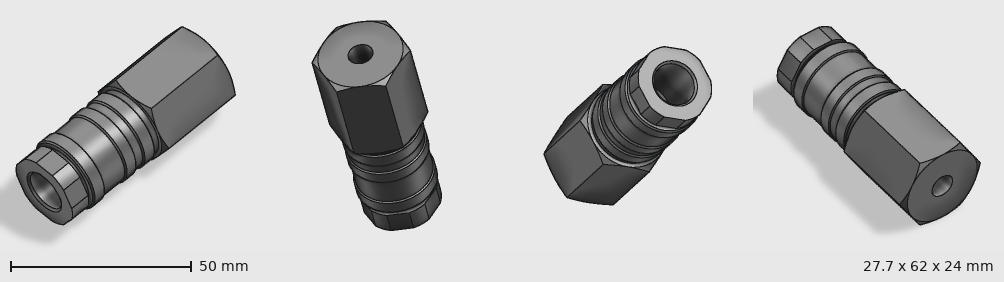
import cadquery as cq
import math

LENGTH = 62.0

BODY_DIAMETER = 22.0
RIB_DIAMETER = 22.95
FRONT_NECK_DIAMETER = 19.05
REAR_NECK_DIAMETER = 21.65

WRENCH_END = 6.4
FRONT_NECK_END = 7.9
BODY_END = 31.9
HEX_START = 33.9

RIBS = [(FRONT_NECK_END, 12.4), (20.45, 24.75), (27.4, BODY_END)]
RIB_FRONT_CHAMFER = 0.5
RIB_REAR_CHAMFER = 0.3

WRENCH_FLATS = 21.1
HEX_FLATS = 24.0
HEX_CHAMFER_ANGLE = 30.0

THROUGH_DIAMETER = 7.0
SOCKET_DIAMETER = 12.15
SOCKET_DEPTH = 18.6
SOCKET_MOUTH_DIAMETER = 13.45

FRONT_Y = -LENGTH / 2


def cylinder(diameter, start, end):
    """Round bar along Y between two stations."""
    plane = cq.Plane((0, FRONT_Y + start, 0), (1, 0, 0), (0, 1, 0))
    return cq.Workplane(plane).circle(diameter / 2).extrude(end - start)


def hexagon(across_flats, start, end):
    """Hexagonal bar along Y with two corners on the X axis."""
    plane = cq.Plane((0, FRONT_Y + start, 0), (1, 0, 0), (0, 1, 0))
    across_corners = across_flats / math.cos(math.radians(30))
    return cq.Workplane(plane).polygon(6, across_corners).extrude(end - start)


def revolved(profile):
    """Solid of revolution about Y from (radius, station) points."""
    points = [(radius, FRONT_Y + station) for radius, station in profile]
    return cq.Workplane("XY").polyline(points).close().revolve(360, (0, 0, 0), (0, 1, 0))


def rib(start, end):
    """Raised ring whose bevelled edges run down to the body surface."""
    body_radius = BODY_DIAMETER / 2
    rib_radius = RIB_DIAMETER / 2
    return revolved([
        (0, start),
        (body_radius, start),
        (rib_radius, start + RIB_FRONT_CHAMFER),
        (rib_radius, end - RIB_REAR_CHAMFER),
        (body_radius, end),
        (0, end),
    ])


def wrench_end():
    """Round end with six narrow flats."""
    round_bar = cylinder(BODY_DIAMETER, 0, WRENCH_END)
    return round_bar.intersect(hexagon(WRENCH_FLATS, 0, WRENCH_END))


def large_hex():
    """Hexagon with conical chamfers on the corners at both ends."""
    flat_radius = HEX_FLATS / 2
    corner_radius = flat_radius / math.cos(math.radians(30))
    chamfer = (corner_radius - flat_radius) * math.tan(math.radians(HEX_CHAMFER_ANGLE))
    envelope = revolved([
        (0, HEX_START),
        (flat_radius, HEX_START),
        (corner_radius, HEX_START + chamfer),
        (corner_radius, LENGTH - chamfer),
        (flat_radius, LENGTH),
        (0, LENGTH),
    ])
    return hexagon(HEX_FLATS, HEX_START, LENGTH).intersect(envelope)


def socket():
    """Blind socket in the small end with a 45 degree lead-in."""
    socket_radius = SOCKET_DIAMETER / 2
    mouth_radius = SOCKET_MOUTH_DIAMETER / 2
    return revolved([
        (0, 0),
        (mouth_radius, 0),
        (socket_radius, mouth_radius - socket_radius),
        (socket_radius, SOCKET_DEPTH),
        (0, SOCKET_DEPTH),
    ])


result = wrench_end()
result = result.union(cylinder(FRONT_NECK_DIAMETER, WRENCH_END, FRONT_NECK_END))
result = result.union(cylinder(BODY_DIAMETER, FRONT_NECK_END, BODY_END))
for rib_start, rib_end in RIBS:
    result = result.union(rib(rib_start, rib_end))
result = result.union(cylinder(REAR_NECK_DIAMETER, BODY_END, HEX_START))
result = result.union(large_hex())
result = result.cut(socket())
result = result.cut(cylinder(THROUGH_DIAMETER, 0, LENGTH))